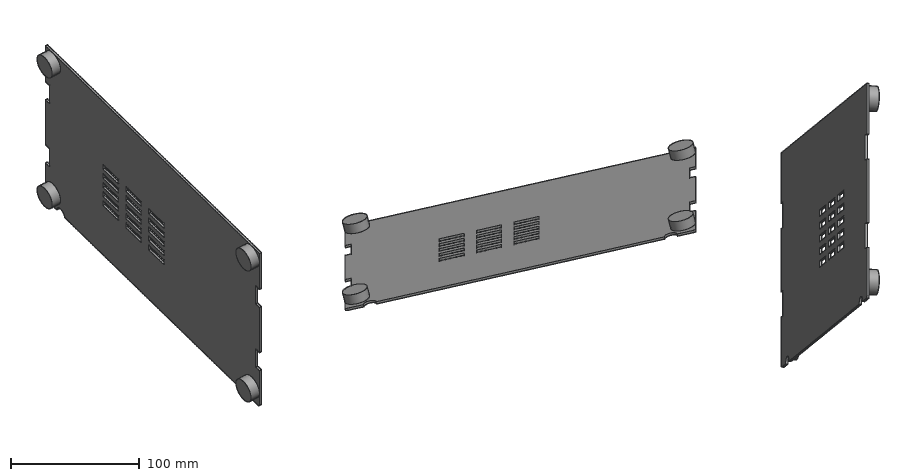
import cadquery as cq

width = 280.0
height = 170.0
total_depth = 10.0
plate_thickness = 2.0
bottom_corner_radius = 2.0

foot_radius = 20.0 / 2
foot_height = total_depth - plate_thickness
lower_foot_rise = 14.8
foot_x = width / 2 - foot_radius
upper_foot_z = height / 2 - foot_radius
lower_foot_z = -height / 2 + lower_foot_rise

side_notch_depth = 5.0
side_notch_height = 20.0
side_notch_z = 35.0

round_notch_radius = 5.0
round_notch_inset = 20.0
round_notch_x = width / 2 - round_notch_inset

slot_length = 20.0
slot_height = 5.0
slot_columns = 3
slot_rows = 5
slot_pitch_x = 1.5 * slot_length
slot_pitch_z = 2 * slot_height
slot_grid_x = -25.0
slot_grid_z = -7.5


def front_face():
    """Workplane on the plate's front face: local x is X, local y is Z, normal is -Y."""
    return cq.Workplane("XZ")


def make_plate():
    plate = front_face().rect(width, height).extrude(-plate_thickness)
    return plate.edges("|Y and <Z").fillet(bottom_corner_radius)


def make_feet():
    centres = [(side * foot_x, z) for side in (-1, 1) for z in (lower_foot_z, upper_foot_z)]
    return front_face().pushPoints(centres).circle(foot_radius).extrude(foot_height)


def make_side_notches():
    centres = [(side * width / 2, level * side_notch_z) for side in (-1, 1) for level in (-1, 1)]
    cutters = front_face().pushPoints(centres).rect(2 * side_notch_depth, side_notch_height)
    return cutters.extrude(-plate_thickness)


def make_round_notches():
    centres = [(side * round_notch_x, -height / 2) for side in (-1, 1)]
    return front_face().pushPoints(centres).circle(round_notch_radius).extrude(-plate_thickness)


def make_vent_slots():
    grid = front_face().center(slot_grid_x, slot_grid_z)
    grid = grid.rarray(slot_pitch_x, slot_pitch_z, slot_columns, slot_rows)
    return grid.rect(slot_length, slot_height).extrude(-plate_thickness)


plate = make_plate()
plate = plate.cut(make_side_notches())
plate = plate.cut(make_round_notches())
plate = plate.cut(make_vent_slots())
result = plate.union(make_feet())